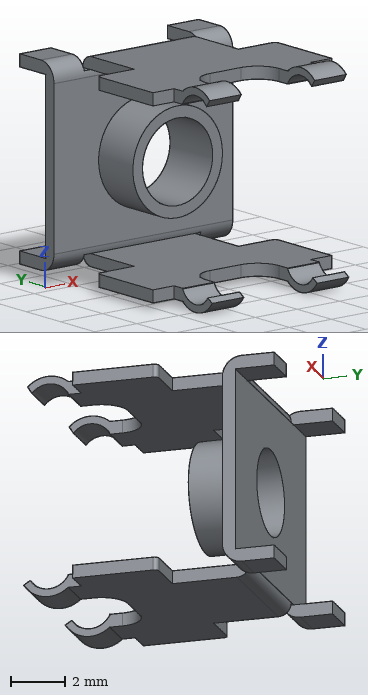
import cadquery as cq
import math

width = 8.5
sheet = 0.5
plate_outer_z = 3.99
plate_inner_z = plate_outer_z - sheet

tab_width = 1.48
tab_end_y = 2.01
bend_radius = 0.75
collar_diameter = 4.25
bore_diameter = 3.33
collar_length = 2.01

tongue_width = 4.95
shoulder_y = -2.51
plate_front_y = -5.8
shoulder_radius = 0.18
slot_width = 3.48
slot_back_y = -4.79
slot_radius = 1.0
arm_width = 1.5
arm_center_x = (slot_width + arm_width) / 2

hook_center_y = -7.05
hook_outer_radius = 1.15
hook_thickness = 0.3
hook_inner_radius = hook_outer_radius - hook_thickness
hook_crest_z = 4.27
hook_center_z = hook_crest_z - hook_outer_radius
hook_root_offset = math.sqrt(hook_outer_radius**2 - (plate_outer_z - hook_center_z)**2)
hook_root_y = hook_center_y + hook_root_offset

upper_outer_tip_angle = 45.5
upper_inner_tip_angle = 50.0
lower_tip_angle = 57.5


def box(x_size, y_min, y_max, z_min, z_max):
    """Box centred on X = 0 between the given Y and Z limits."""
    return (
        cq.Workplane("XY")
        .box(x_size, y_max - y_min, z_max - z_min, centered=(True, False, False))
        .translate((0, y_min, z_min))
    )


def make_bracket():
    """Wall with rounded front bends, four rear tabs and a through-bored collar."""
    wall = box(width, 0, tab_end_y, -plate_outer_z, plate_outer_z)
    wall = wall.edges("|X and <Y").fillet(bend_radius)
    wall = wall.cut(box(width, sheet, tab_end_y, -plate_inner_z, plate_inner_z))

    tab_gap = width - 2 * tab_width
    for z_min in (plate_inner_z, -plate_outer_z):
        wall = wall.cut(box(tab_gap, 0, tab_end_y, z_min, z_min + sheet))

    collar = cq.Workplane("XZ").circle(collar_diameter / 2).extrude(collar_length)
    bore = (
        cq.Workplane("XZ", origin=(0, sheet, 0))
        .circle(bore_diameter / 2)
        .extrude(sheet + collar_length)
    )
    return wall.union(collar).cut(bore)


def hook_point(radius, angle):
    """Point (Y, Z) on the hook arc; the angle runs from the crest towards the tip."""
    turn = math.radians(angle)
    return (hook_center_y - radius * math.sin(turn), hook_center_z + radius * math.cos(turn))


def make_hook(outer_tip_angle, inner_tip_angle):
    """Arched strip of one arm, from its root on the flat plate to its tip."""
    outer_root = (hook_root_y, plate_outer_z)
    inner_root_z = hook_center_z + math.sqrt(hook_inner_radius**2 - hook_root_offset**2)
    return (
        cq.Workplane("YZ", origin=(-arm_width / 2, 0, 0))
        .moveTo(*outer_root)
        .threePointArc(hook_point(hook_outer_radius, 0), hook_point(hook_outer_radius, outer_tip_angle))
        .lineTo(*hook_point(hook_inner_radius, inner_tip_angle))
        .threePointArc(hook_point(hook_inner_radius, 0), (hook_root_y, inner_root_z))
        .close()
        .extrude(arm_width)
    )


def make_tongue():
    """Flat tongue resting on the wall end, with a quarter-round rear end as high as the sheet."""
    return (
        cq.Workplane("YZ", origin=(-tongue_width / 2, 0, 0))
        .moveTo(shoulder_y, plate_inner_z)
        .lineTo(sheet, plate_inner_z)
        .radiusArc((0, plate_outer_z), -sheet)
        .lineTo(shoulder_y, plate_outer_z)
        .close()
        .extrude(tongue_width)
    )


def make_spring_plate(outer_tip_angle, inner_tip_angle):
    """Upper spring plate: tongue, shoulders, slotted front and two hooked arms."""
    tongue = make_tongue()
    body = box(width, plate_front_y, shoulder_y, plate_inner_z, plate_outer_z)
    body = body.edges("|Z and >Y").fillet(shoulder_radius)
    arms_span = slot_width + 2 * arm_width
    arms = box(arms_span, hook_root_y, plate_front_y, plate_inner_z, plate_outer_z)
    slot = box(slot_width, hook_root_y, slot_back_y, plate_inner_z, plate_outer_z)
    slot = slot.edges("|Z and >Y").fillet(slot_radius)
    plate = body.union(tongue).union(arms).cut(slot)

    hook = make_hook(outer_tip_angle, inner_tip_angle)
    for side in (-1, 1):
        plate = plate.union(hook.translate((side * arm_center_x, 0, 0)))
    return plate


bracket = make_bracket()
upper_spring_plate = make_spring_plate(upper_outer_tip_angle, upper_inner_tip_angle)
lower_spring_plate = make_spring_plate(lower_tip_angle, lower_tip_angle).mirror("XY")

result = cq.Compound.makeCompound(
    [bracket.val(), upper_spring_plate.val(), lower_spring_plate.val()]
)